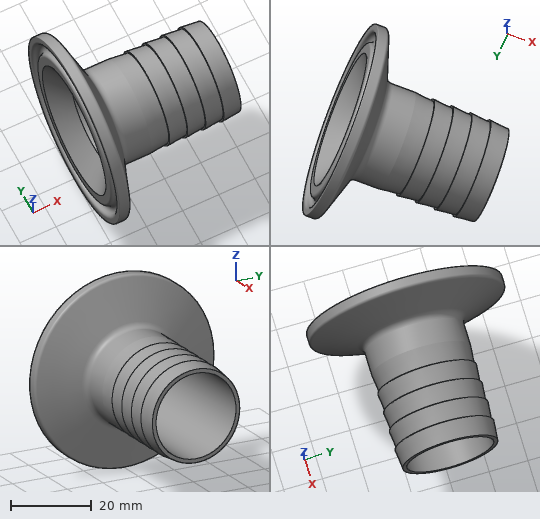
import cadquery as cq
import math


flange_radius = 25.25
face_edge_fillet = 0.15
rim_fillet = 0.85
rim_flat_end = 2.25
back_angle = math.radians(20)

shank_radius = 12.8
neck_fillet = 2.0
barb_start = 15.0
barb_pitch = 5.0
barb_count = 5
barb_drop = 0.5
total_length = barb_start + barb_count * barb_pitch

mouth_radius = 17.45
mouth_depth = 5.0
bore_radius = 11.2

groove_radius = 21.75
groove_lip_fillet = 0.85
groove_floor_radius = 1.2
groove_wall_width = 0.1
wall_angle = math.radians(70)


def arc_point(center, radius, angle):
    """Point on a circle in the (axial, radial) plane."""
    return (center[0] + radius * math.cos(angle), center[1] + radius * math.sin(angle))


def make_body():
    """Solid flange and barbed shank, without bore or groove."""
    rim_center = (rim_flat_end, flange_radius - rim_fillet)
    rim_tangent = arc_point(rim_center, rim_fillet, back_angle)
    rim_middle = arc_point(rim_center, rim_fillet, (back_angle + math.pi / 2) / 2)

    neck_center_radius = shank_radius + neck_fillet
    neck_tangent_radius = neck_center_radius - neck_fillet * math.sin(back_angle)
    neck_tangent_x = rim_tangent[0] + (rim_tangent[1] - neck_tangent_radius) * math.tan(back_angle)
    neck_center = (neck_tangent_x + neck_fillet * math.cos(back_angle), neck_center_radius)
    neck_middle = arc_point(neck_center, neck_fillet, math.pi + (back_angle + math.pi / 2) / 2)

    edge_center = (face_edge_fillet, flange_radius - face_edge_fillet)
    edge_middle = arc_point(edge_center, face_edge_fillet, 3 * math.pi / 4)

    profile = (
        cq.Workplane("XY")
        .lineTo(0, flange_radius - face_edge_fillet)
        .threePointArc(edge_middle, (face_edge_fillet, flange_radius))
        .lineTo(rim_flat_end, flange_radius)
        .threePointArc(rim_middle, rim_tangent)
        .lineTo(neck_tangent_x, neck_tangent_radius)
        .threePointArc(neck_middle, (neck_center[0], shank_radius))
        .lineTo(barb_start, shank_radius)
    )
    for barb in range(barb_count):
        barb_end = barb_start + (barb + 1) * barb_pitch
        profile = profile.lineTo(barb_end, shank_radius - barb_drop)
        if barb < barb_count - 1:
            profile = profile.lineTo(barb_end, shank_radius)
    profile = profile.lineTo(total_length, 0).close()
    return profile.revolve(360, (0, 0, 0), (1, 0, 0))


def make_bore():
    """Conical mouth leading into the straight through bore."""
    return (
        cq.Workplane("XY")
        .lineTo(0, mouth_radius)
        .lineTo(mouth_depth, bore_radius)
        .lineTo(total_length, bore_radius)
        .lineTo(total_length, 0)
        .close()
        .revolve(360, (0, 0, 0), (1, 0, 0))
    )


def make_groove():
    """Ring with a round floor, steep walls and rounded lips."""
    wall_inner = groove_floor_radius * math.sin(wall_angle)
    wall_outer = wall_inner + groove_wall_width
    half_width = wall_outer + groove_lip_fillet * math.sin(wall_angle)
    lip_depth = groove_lip_fillet * (1 - math.cos(wall_angle))
    wall_depth = lip_depth + groove_wall_width * math.tan(wall_angle)
    floor_depth = wall_depth + groove_floor_radius * (1 - math.cos(wall_angle))

    lip_mid_depth = groove_lip_fillet * (1 - math.cos(wall_angle / 2))
    lip_mid = half_width - groove_lip_fillet * math.sin(wall_angle / 2)
    return (
        cq.Workplane("XY")
        .moveTo(0, groove_radius - half_width)
        .threePointArc((lip_mid_depth, groove_radius - lip_mid), (lip_depth, groove_radius - wall_outer))
        .lineTo(wall_depth, groove_radius - wall_inner)
        .threePointArc((floor_depth, groove_radius), (wall_depth, groove_radius + wall_inner))
        .lineTo(lip_depth, groove_radius + wall_outer)
        .threePointArc((lip_mid_depth, groove_radius + lip_mid), (0, groove_radius + half_width))
        .close()
        .revolve(360, (0, 0, 0), (1, 0, 0))
    )


result = make_body().cut(make_bore()).cut(make_groove())